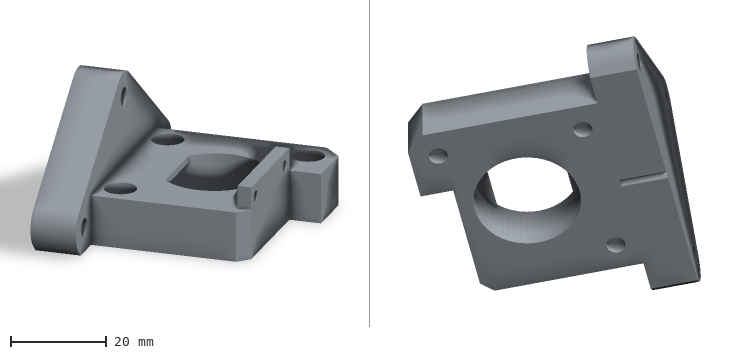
import cadquery as cq
import math

PLATE_THICKNESS = 10.0
LUG_RADIUS = 5.5
LUG_SPACING = 52.0
LUG_RISE = 20.0
PLATE_HOLE_DIAMETER = 4.0
LOWER_LUG_Y = LUG_SPACING / 2
LOWER_LUG_Z = LUG_RADIUS
APEX_LUG_Z = LOWER_LUG_Z + LUG_RISE

MARK_WIDTH = 1.7
MARK_HEIGHT = 1.0

BLOCK_SIZE = 43.0
BLOCK_HEIGHT = 11.0
MOTOR_X = 30.0
BLOCK_HALF = BLOCK_SIZE / 2
BLOCK_FAR_X = MOTOR_X + BLOCK_HALF
CORNER_CHAMFER = 4.0

BORE_DIAMETER = 22.5
FLATS_WIDTH = 16.5
FLATS_THICKNESS = 1.5

SCREW_SPACING = 31.0
SCREW_HOLE_DIAMETER = 4.0
SCREW_HEAD_DIAMETER = 7.0
SCREW_HEAD_DEPTH = 6.0

RIB_THICKNESS = 3.0
RIB_LENGTH = 25.0
RIB_HEIGHT = 5.0
RIB_FAR_X = 44.5
RIB_END_Y = 6.0
RIB_HOLE_SPACING = 19.0
RIB_HOLE_DIAMETER = 2.5
RIB_HOLE_RISE = 2.0
RIB_START_Y = RIB_END_Y - RIB_LENGTH
RIB_CHAMFER = RIB_START_Y + BLOCK_HALF


def triangular_plate():
    """Plate around three lugs; 45 degree cuts join the lower lugs to the base."""
    diagonal = LUG_RADIUS * math.sqrt(0.5)
    cut_end_y = LOWER_LUG_Y + LUG_RADIUS * (math.sqrt(2) - 1)
    slope_length = math.hypot(LOWER_LUG_Y, LUG_RISE)
    normal_y = LUG_RADIUS * LUG_RISE / slope_length
    normal_z = LUG_RADIUS * LOWER_LUG_Y / slope_length
    outline = (
        cq.Workplane("YZ")
        .moveTo(-cut_end_y, 0)
        .lineTo(cut_end_y, 0)
        .lineTo(LOWER_LUG_Y + diagonal, LOWER_LUG_Z - diagonal)
        .threePointArc(
            (LOWER_LUG_Y + LUG_RADIUS, LOWER_LUG_Z),
            (LOWER_LUG_Y + normal_y, LOWER_LUG_Z + normal_z),
        )
        .lineTo(normal_y, APEX_LUG_Z + normal_z)
        .threePointArc((0, APEX_LUG_Z + LUG_RADIUS), (-normal_y, APEX_LUG_Z + normal_z))
        .lineTo(-LOWER_LUG_Y - normal_y, LOWER_LUG_Z + normal_z)
        .threePointArc(
            (-LOWER_LUG_Y - LUG_RADIUS, LOWER_LUG_Z),
            (-LOWER_LUG_Y - diagonal, LOWER_LUG_Z - diagonal),
        )
        .close()
    )
    plate = outline.extrude(PLATE_THICKNESS)
    holes = (
        cq.Workplane("YZ")
        .pushPoints([(-LOWER_LUG_Y, LOWER_LUG_Z), (LOWER_LUG_Y, LOWER_LUG_Z), (0, APEX_LUG_Z)])
        .circle(PLATE_HOLE_DIAMETER / 2)
        .extrude(PLATE_THICKNESS)
    )
    mark = (
        cq.Workplane("YZ")
        .polyline([(-MARK_WIDTH / 2, 0), (MARK_WIDTH / 2, 0), (0, MARK_HEIGHT)])
        .close()
        .extrude(PLATE_THICKNESS)
    )
    return plate.cut(holes).cut(mark)


def block_body():
    """Block from the back of the plate, with one far corner cut back to the rib's face."""
    outline = [
        (PLATE_THICKNESS, -BLOCK_HALF),
        (RIB_FAR_X - RIB_CHAMFER, -BLOCK_HALF),
        (RIB_FAR_X, RIB_START_Y),
        (RIB_FAR_X, RIB_END_Y),
        (BLOCK_FAR_X, RIB_END_Y),
        (BLOCK_FAR_X, BLOCK_HALF - CORNER_CHAMFER),
        (BLOCK_FAR_X - CORNER_CHAMFER, BLOCK_HALF),
        (PLATE_THICKNESS, BLOCK_HALF),
    ]
    return cq.Workplane("XY").polyline(outline).close().extrude(BLOCK_HEIGHT)


def motor_opening():
    """Round bore, with flats only in the layer next to the top face."""
    axis = cq.Workplane("XY").center(MOTOR_X, 0)
    bore = axis.circle(BORE_DIAMETER / 2).extrude(BLOCK_HEIGHT)
    between_flats = axis.rect(FLATS_WIDTH, BORE_DIAMETER).extrude(BLOCK_HEIGHT)
    lower_bore = axis.circle(BORE_DIAMETER / 2).extrude(BLOCK_HEIGHT - FLATS_THICKNESS)
    return bore.intersect(between_flats).union(lower_bore)


def screw_holes():
    """Counterbored holes at three corners of the motor's screw square."""
    offset = SCREW_SPACING / 2
    places = [(MOTOR_X - offset, -offset), (MOTOR_X - offset, offset), (MOTOR_X + offset, offset)]
    shanks = (
        cq.Workplane("XY")
        .pushPoints(places)
        .circle(SCREW_HOLE_DIAMETER / 2)
        .extrude(BLOCK_HEIGHT)
    )
    heads = (
        cq.Workplane("XY", origin=(0, 0, BLOCK_HEIGHT))
        .pushPoints(places)
        .circle(SCREW_HEAD_DIAMETER / 2)
        .extrude(-SCREW_HEAD_DEPTH)
    )
    return shanks.union(heads)


def switch_rib():
    """Upright rib with two holes through its thickness."""
    near_x = RIB_FAR_X - RIB_THICKNESS
    rib = cq.Workplane("XY").box(RIB_THICKNESS, RIB_LENGTH, RIB_HEIGHT, centered=False)
    rib = rib.translate((near_x, RIB_START_Y, BLOCK_HEIGHT))
    middle = (near_x, RIB_START_Y + RIB_LENGTH / 2, BLOCK_HEIGHT + RIB_HOLE_RISE)
    holes = (
        cq.Workplane("YZ", origin=middle)
        .pushPoints([(-RIB_HOLE_SPACING / 2, 0), (RIB_HOLE_SPACING / 2, 0)])
        .circle(RIB_HOLE_DIAMETER / 2)
        .extrude(RIB_THICKNESS)
    )
    return rib.cut(holes)


block = block_body().cut(motor_opening()).cut(screw_holes())
result = triangular_plate().union(block).union(switch_rib())